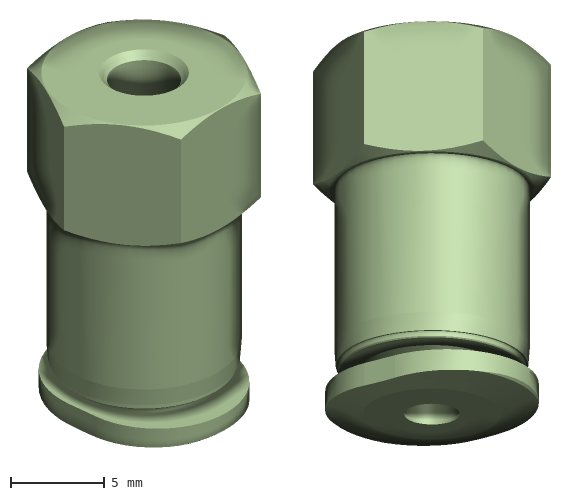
import cadquery as cq
import math

total_height = 20.5
hex_corners = 12.83

hex_bottom = 12.98
hex_face_diameter = 11.03
hex_chamfer_angle = 30.0
hex_turn = 30.0

body_diameter = 10.5
taper_top = 3.81
taper_end_diameter = 10.33
lip_diameter = 10.1
lip_top = 2.79
lip_bottom = 2.44
lip_chamfer = 0.06

neck_diameter = 7.75
neck_fillet = 0.33
flange_length = 11.8
flange_width = 9.85
flange_top = 1.55
underside_diameter = 7.38
underside_cone_diameter = 11.52
underside_cone_height = 0.4
end_chamfer_height = 0.12

through_diameter = 3.0
port_diameter = 3.98
port_depth = total_height - hex_bottom
countersink_diameter = 4.82
countersink_depth = (countersink_diameter - port_diameter) / 2


def revolve_profile(points):
    """Turn a closed (radius, height) outline about the Z axis."""
    return cq.Workplane("XZ").polyline(points).close().revolve(360, (0, 0), (0, 1))


def hex_head():
    """Hexagon with corners along Y, chamfered by cones at both ends."""
    prism = (
        cq.Workplane("XY", origin=(0, 0, hex_bottom))
        .polygon(6, hex_corners)
        .extrude(total_height - hex_bottom)
        .rotate((0, 0, 0), (0, 0, 1), hex_turn)
    )
    face_radius = hex_face_diameter / 2
    outer_radius = hex_corners / 2
    drop = (outer_radius - face_radius) * math.tan(math.radians(hex_chamfer_angle))
    envelope = revolve_profile([
        (0, hex_bottom),
        (face_radius, hex_bottom),
        (outer_radius, hex_bottom + drop),
        (outer_radius, total_height - drop),
        (face_radius, total_height),
        (0, total_height),
    ])
    return prism.intersect(envelope)


def body():
    """Cylinder with its tapered lower end, lip and round neck."""
    neck_radius = neck_diameter / 2
    lip_radius = lip_diameter / 2
    return revolve_profile([
        (0, flange_top),
        (neck_radius, flange_top),
        (neck_radius, lip_bottom),
        (lip_radius - lip_chamfer, lip_bottom),
        (lip_radius, lip_bottom + lip_chamfer),
        (lip_radius, lip_top),
        (taper_end_diameter / 2, lip_top),
        (body_diameter / 2, taper_top),
        (body_diameter / 2, hex_bottom),
        (0, hex_bottom),
    ])


def neck_fillet_ring():
    """Concave fillet blending the neck into the top of the flange."""
    neck_radius = neck_diameter / 2
    arc_offset = neck_fillet * (1 - math.sqrt(0.5))
    return (
        cq.Workplane("XZ")
        .moveTo(0, flange_top)
        .lineTo(neck_radius + neck_fillet, flange_top)
        .threePointArc(
            (neck_radius + arc_offset, flange_top + arc_offset),
            (neck_radius, flange_top + neck_fillet),
        )
        .lineTo(0, flange_top + neck_fillet)
        .close()
        .revolve(360, (0, 0), (0, 1))
    )


def flange():
    """Oblong plate, long along X, trimmed below by a shallow cone and a steeper end chamfer."""
    plate = cq.Workplane("XY").slot2D(flange_length, flange_width).extrude(flange_top)
    envelope = revolve_profile([
        (0, 0),
        (underside_diameter / 2, 0),
        (underside_cone_diameter / 2, underside_cone_height),
        (flange_length / 2, underside_cone_height + end_chamfer_height),
        (flange_length / 2, flange_top),
        (0, flange_top),
    ])
    return plate.intersect(envelope)


def bore():
    """Through hole, wider port from the top and its countersink."""
    port_radius = port_diameter / 2
    port_floor = total_height - port_depth
    return revolve_profile([
        (0, 0),
        (through_diameter / 2, 0),
        (through_diameter / 2, port_floor),
        (port_radius, port_floor),
        (port_radius, total_height - countersink_depth),
        (countersink_diameter / 2, total_height),
        (0, total_height),
    ])


solid_fitting = hex_head().union(body()).union(neck_fillet_ring()).union(flange())
result = solid_fitting.cut(bore())